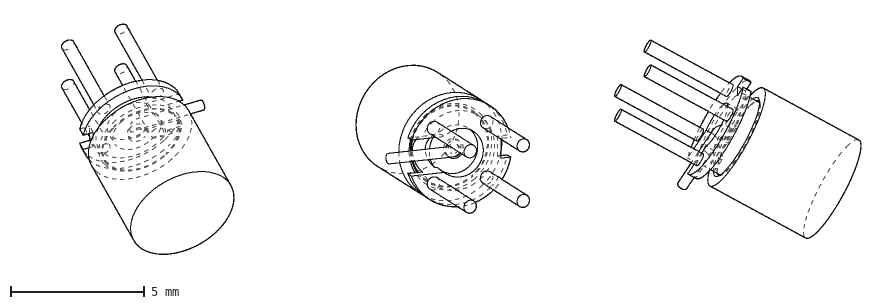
import cadquery as cq


lead_length = 3.6
lead_diameter = 0.51
lead_offset = 1.08

outer_radius = 2.1
flange_thickness = 0.35
neck_radius = 1.55
neck_length = 0.6
can_length = 4.2
flange_start = lead_length
neck_start = flange_start + flange_thickness
can_start = neck_start + neck_length

groove_outer_radius = 1.68
groove_depth = 0.09

recess_radius = 0.945
recess_depth = 0.55
bead_radius = 1.025
bead_face = flange_start + recess_depth

pocket_radius = 0.36
pocket_depth = 0.2
pocket_floor = bead_face + pocket_depth

wire_radius = 0.2
wire_axis_x = 3.85
wire_reach = 2.85
bend_radius = 0.25
wire_tip_fillet = 0.06
wire_embedment = 0.2
meniscus_radius = 0.14

slot_half_width = 0.7
notch_width = 0.77
notch_floor = 1.66


def x_cylinder(start, length, radius, y=0, z=0):
    """Solid cylinder along +X."""
    return cq.Workplane("YZ", origin=(start, y, z)).circle(radius).extrude(length)


def make_header():
    """Flange, neck and can as plain coaxial cylinders."""
    flange = x_cylinder(flange_start, flange_thickness, outer_radius)
    neck = x_cylinder(neck_start, neck_length, neck_radius)
    can = x_cylinder(can_start, can_length, outer_radius)
    return flange.union(neck).union(can)


def make_groove():
    """Ring with a cylindrical inner side, a narrow flat floor and a conical outer side."""
    floor_x = can_start + groove_depth
    return (
        cq.Workplane("XY")
        .moveTo(can_start, neck_radius)
        .lineTo(can_start, groove_outer_radius)
        .lineTo(floor_x, groove_outer_radius - groove_depth)
        .lineTo(floor_x, neck_radius)
        .close()
        .revolve(360, (0, 0, 0), (1, 0, 0))
    )


def rim_box(start, length, y_min, y_max, width):
    """Box running along +X from start, between two Y levels and centred on Z = 0."""
    box = cq.Workplane("XY").box(length, y_max - y_min, width, centered=(False, False, True))
    return box.translate((start, y_min, 0))


def make_slot():
    """Round-bottomed slot along +Y, open at the flange face and stopping at the bead."""
    axis = cq.Workplane("XZ", origin=(wire_axis_x, 0, 0))
    rounded_end = axis.circle(slot_half_width).extrude(-outer_radius)
    opening = rim_box(flange_start, wire_axis_x - flange_start, 0, outer_radius, 2 * slot_half_width)
    bead = x_cylinder(bead_face, slot_half_width, bead_radius)
    return rounded_end.union(opening).cut(bead)


def make_notch():
    """Rectangular notch through the flange rim on the -Y side."""
    return rim_box(flange_start, flange_thickness, -outer_radius, -notch_floor, notch_width)


def make_leads():
    """Four straight leads on a square pattern, standing on the flange face."""
    leads = cq.Workplane("YZ")
    for y in (-lead_offset, lead_offset):
        for z in (-lead_offset, lead_offset):
            leads = leads.add(x_cylinder(0, lead_length, lead_diameter / 2, y, z))
    return leads.combine()


def make_wire():
    """Round wire coming in along Y and bending into the bead along X."""
    path = (
        cq.Workplane("XY")
        .moveTo(wire_axis_x, wire_reach)
        .lineTo(wire_axis_x, bend_radius)
        .tangentArcPoint((wire_axis_x + bend_radius, 0), relative=False)
        .lineTo(pocket_floor + wire_embedment, 0)
    )
    wire = cq.Workplane("XZ", origin=(wire_axis_x, wire_reach, 0)).circle(wire_radius).sweep(path)
    return wire.faces(">Y").fillet(wire_tip_fillet)


def make_meniscus():
    """Concave fillet between the wire and the pocket floor."""
    meniscus_top = pocket_floor - meniscus_radius
    return (
        cq.Workplane("XY")
        .moveTo(meniscus_top, 0)
        .lineTo(meniscus_top, wire_radius)
        .radiusArc((pocket_floor, wire_radius + meniscus_radius), -meniscus_radius)
        .lineTo(pocket_floor, 0)
        .close()
        .revolve(360, (0, 0, 0), (1, 0, 0))
    )


recess = x_cylinder(flange_start, recess_depth, recess_radius)
pocket = x_cylinder(bead_face, pocket_depth, pocket_radius)
header = make_header()
for cutter in (make_groove(), recess, pocket, make_slot(), make_notch()):
    header = header.cut(cutter)
result = header.union(make_leads()).union(make_meniscus()).union(make_wire())